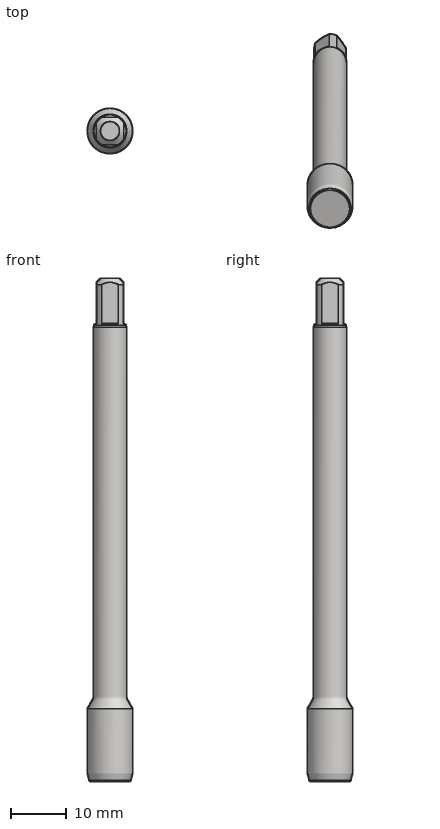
import cadquery as cq
import math

total_length = 90.1

head_radius = 8.15 / 2
head_length = 13.1
lead_top = 1.5
end_radius = 3.5
end_bevel_height = 0.25
lead_end_radius = end_radius + end_bevel_height

shank_radius = 6.0 / 2
shank_top = 81.3
cone_angle = math.radians(30)
blend_radius = 1.2

drive_bottom = 81.65
drive_corner_radius = 5.76 / 2
drive_across_flats = 4.9
flat_bottom = 82.0
runout_slope = math.radians(30)
tip_radius = 1.7


def make_head():
    """Cylindrical head with a tapered lead and a small bevel at its lower end."""
    return (
        cq.Workplane("XZ")
        .lineTo(end_radius, 0)
        .lineTo(lead_end_radius, end_bevel_height)
        .lineTo(head_radius, lead_top)
        .lineTo(head_radius, head_length)
        .lineTo(0, head_length)
        .close()
        .revolve(360, (0, 0, 0), (0, 1, 0))
    )


def make_turned_shank():
    """Shoulder cone, blend, shank and chamfered tip, before the flats are cut."""
    cone_top_radius = shank_radius + blend_radius * (1 - math.cos(cone_angle))
    cone_top = head_length + (head_radius - cone_top_radius) / math.tan(cone_angle)
    blend_top = cone_top + blend_radius * math.sin(cone_angle)
    tip_chamfer = drive_corner_radius - tip_radius
    return (
        cq.Workplane("XZ")
        .moveTo(0, head_length)
        .lineTo(head_radius, head_length)
        .lineTo(cone_top_radius, cone_top)
        .tangentArcPoint((shank_radius, blend_top), relative=False)
        .lineTo(shank_radius, shank_top)
        .lineTo(drive_corner_radius, drive_bottom)
        .lineTo(drive_corner_radius, total_length - tip_chamfer)
        .lineTo(tip_radius, total_length)
        .lineTo(0, total_length)
        .close()
        .revolve(360, (0, 0, 0), (0, 1, 0))
    )


def make_flat_cutter():
    """Material outside the flat on the -Y side, bounded below by its sloping runout."""
    flat_y = -drive_across_flats / 2
    outer_y = -head_radius
    runout_drop = (flat_y - outer_y) * math.tan(runout_slope)
    return (
        cq.Workplane("YZ")
        .moveTo(flat_y, flat_bottom)
        .lineTo(flat_y, total_length)
        .lineTo(outer_y, total_length)
        .lineTo(outer_y, flat_bottom - runout_drop)
        .close()
        .extrude(head_radius, both=True)
    )


def make_shank():
    """Turned shank with the four flats of the square drive."""
    shank = make_turned_shank()
    flat_cutter = make_flat_cutter()
    for flat in range(4):
        shank = shank.cut(flat_cutter.rotate((0, 0, 0), (0, 0, 1), 90 * flat))
    return shank


head = make_head()
shank = make_shank()

result = cq.Compound.makeCompound([head.val(), shank.val()])